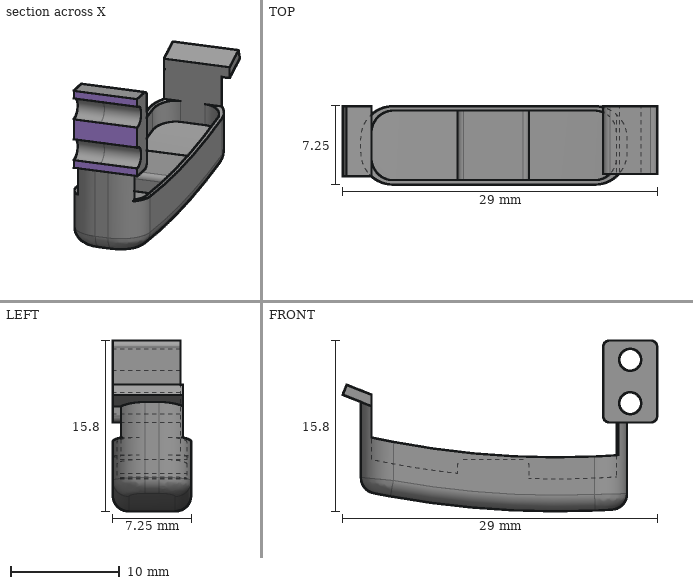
import cadquery as cq
import math

tray_length = 24.53
tray_width = 7.25
tray_corner_radius = 3.0
tray_height = 5.0
bottom_fillet = 1.5

curve_center_x = 18.0
bottom_radius = 85.0
rim_radius = bottom_radius - tray_height

arm_root_z = tray_height - 1.0

end_wall = 1.0
side_wall = 0.42
cavity_corner_radius = 2.0
cavity_depth = 2.0
floor_radius = rim_radius + cavity_depth

pad_start = 8.92
pad_end = 15.48
pad_top = 4.8
pad_root_z = 2.0
pad_fillet = 0.53

block_width = 5.0
block_height = 7.58
block_depth = 6.27
block_left = 22.31
block_bottom = 8.18
block_fillet = 0.62
hole_diameter = 2.0
hole_spacing = 4.0
block_center_x = block_left + block_width / 2
block_center_z = block_bottom + block_height / 2
back_y = tray_width / 2
block_front_y = back_y - block_depth

tab_thickness = 1.0
tab_angle = math.radians(21.5)
tab_slope = math.tan(tab_angle)
tab_tip_x = -1.67
tab_right_lower_z = 9.69

corner_center_y = tray_width / 2 - tray_corner_radius
arm_half_width = corner_center_y + math.sqrt(
    tray_corner_radius**2 - (tray_corner_radius - end_wall) ** 2
)


def box(x_range, y_range, z_range):
    """Axis-aligned box spanning the given (low, high) ranges."""
    sizes = [high - low for low, high in (x_range, y_range, z_range)]
    corner = (x_range[0], y_range[0], z_range[0])
    return cq.Workplane("XY").box(*sizes, centered=False).translate(corner)


def rounded_bar(length, width, corner_radius, height):
    """Upright bar centred on the tray, with rounded vertical corners."""
    return (
        cq.Workplane("XY")
        .box(length, width, height, centered=(True, True, False))
        .edges("|Z")
        .fillet(corner_radius)
        .translate((tray_length / 2, 0, 0))
    )


def curve_cylinder(radius):
    """Cylinder along Y about the common axis of the tray's curved faces."""
    return (
        cq.Workplane("XZ", origin=(curve_center_x, 0, bottom_radius))
        .circle(radius)
        .extrude(tray_width, both=True)
    )


def make_body():
    """Curved tray with its cavity and the two end arms, before the pad is added."""
    envelope = rounded_bar(tray_length, tray_width, tray_corner_radius, block_center_z)
    envelope = envelope.intersect(curve_cylinder(bottom_radius))
    envelope = envelope.faces("<Z").edges().fillet(bottom_fillet)
    tray = envelope.cut(curve_cylinder(rim_radius))
    cavity = rounded_bar(
        tray_length - 2 * end_wall, tray_width - 2 * side_wall, cavity_corner_radius, block_center_z
    ).intersect(curve_cylinder(floor_radius))

    arm_outer_z = tab_right_lower_z + end_wall * tab_slope
    left_arm_zone = (
        cq.Workplane("XZ")
        .moveTo(0, arm_root_z)
        .lineTo(0, arm_outer_z)
        .lineTo(end_wall, tab_right_lower_z)
        .lineTo(end_wall, arm_root_z)
        .close()
        .extrude(tray_width / 2, both=True)
    )
    right_arm_zone = box(
        (tray_length - end_wall, tray_length), (block_front_y, back_y), (arm_root_z, block_center_z)
    )
    arms = envelope.intersect(left_arm_zone.union(right_arm_zone))
    return tray.cut(cavity).union(arms)


def make_pad():
    """Flat-topped pad filling the cavity width, with rounded upper cross edges."""
    half_width = tray_width / 2 - side_wall
    return (
        box((pad_start, pad_end), (-half_width, half_width), (pad_root_z, pad_top))
        .edges("|Y and >Z")
        .fillet(pad_fillet)
    )


def make_tab():
    """Slanted bar, square at its tip and vertical where it meets the arm's inner face."""
    tip_lower_z = tab_right_lower_z + (end_wall - tab_tip_x) * tab_slope
    tip_upper_x = tab_tip_x + tab_thickness * math.sin(tab_angle)
    tip_upper_z = tip_lower_z + tab_thickness * math.cos(tab_angle)
    right_upper_z = tab_right_lower_z + tab_thickness / math.cos(tab_angle)
    return (
        cq.Workplane("XZ", origin=(0, back_y, 0))
        .moveTo(tab_tip_x, tip_lower_z)
        .lineTo(tip_upper_x, tip_upper_z)
        .lineTo(end_wall, right_upper_z)
        .lineTo(end_wall, tab_right_lower_z)
        .close()
        .extrude(back_y + arm_half_width)
    )


def make_block():
    """End block with rounded long edges."""
    return (
        box(
            (block_left, block_left + block_width),
            (block_front_y, back_y),
            (block_bottom, block_bottom + block_height),
        )
        .edges("|Y")
        .fillet(block_fillet)
    )


def make_holes():
    """Two through holes along Y, one above the other."""
    return (
        cq.Workplane("XZ", origin=(block_center_x, 0, block_center_z))
        .rarray(1, hole_spacing, 1, 2)
        .circle(hole_diameter / 2)
        .extrude(tray_width, both=True)
    )


result = make_body().union(make_pad()).union(make_tab()).union(make_block()).cut(make_holes())